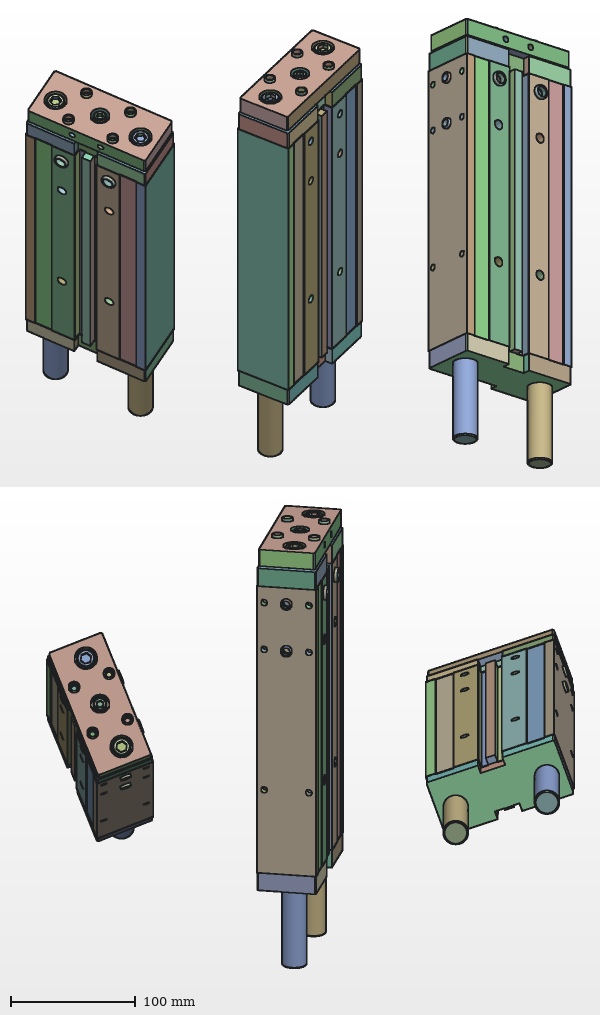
import cadquery as cq
import math

housing_width = 109.7
housing_depth = 49.0
housing_bottom = 67.0
cap_height = 15.0
barrel_height = 244.5
cap_corner = 1.0
cap_inset = 0.5
barrel_corner = 0.5
barrel_bottom = housing_bottom + cap_height
barrel_top = barrel_bottom + barrel_height
housing_top = barrel_top + cap_height
side_face_x = -housing_width / 2
front_face_y = -housing_depth / 2

cap_slot_depth = 7.2
barrel_slot_depth = 8.0
slot_edge_break = 0.55
cap_slot_width = 21.0
barrel_slot_width = 19.5
slot_rib_width = 8.0
slot_rib_recess = 1.0
channel_inner_x = 31.3
channel_outer_x = 46.0
channel_depth = 0.9

hole_rows_z = (153.3, 273.0, 313.0)
sleeve_row_z = hole_rows_z[2]
port_rows_z = hole_rows_z[1:]
mount_hole_x = 21.5
mount_hole_diameter = 6.5
mount_thread_diameter = 8.0
mount_thread_depth = 16.0
side_hole_y = 18.5
tapped_hole_diameter = 5.0
tapped_hole_depth = 7.2
drill_tip_angle = 118.0

yoke_width = 107.5
yoke_depth = 46.0
yoke_height = 14.0
yoke_corner = 1.0
yoke_gap = 1.8
yoke_bottom = housing_top + yoke_gap
yoke_top = yoke_bottom + yoke_height
yoke_hole_x = 13.0
yoke_hole_z = yoke_bottom + yoke_height / 2

guide_rod_diameter = 20.0
guide_rod_x = 39.0
guide_rod_y = -3.2
guide_rod_chamfer = 1.0
piston_rod_diameter = 12.0
piston_rod_insertion = 36.0

guide_seat_diameter = 18.0
guide_head_diameter = 15.0
guide_hex_flats = 8.0
piston_seat_diameter = 15.0
piston_head_diameter = 11.0
piston_hex_flats = 5.0
seat_depth = 8.5
head_height = 8.3
head_chamfer = 1.0
hex_depth = 3.5
hex_half_angle = 30.0

small_sleeve_outer = 9.0
small_sleeve_inner = 6.5
large_sleeve_outer = 12.0
large_sleeve_inner = 8.5
small_sleeve_seat = 2.0
large_sleeve_seat = 2.5
small_sleeve_protrusion = 2.0
large_sleeve_protrusion = 2.5
sleeve_rounding = 0.7
port_depth = 4.3
yoke_sleeve_x = 20.0
yoke_sleeve_spread_y = 15.0
yoke_sleeve_center_y = -0.7
yoke_thread_depth = 7.2

X_AXIS = cq.Vector(1, 0, 0)
Y_AXIS = cq.Vector(0, 1, 0)
Z_AXIS = cq.Vector(0, 0, 1)

guide_rod_places = [(side * guide_rod_x, guide_rod_y) for side in (-1, 1)]
mount_hole_places = [
    cq.Vector(side * mount_hole_x, front_face_y, z) for side in (-1, 1) for z in hole_rows_z
]
front_sleeve_places = [cq.Vector(side * mount_hole_x, front_face_y, sleeve_row_z) for side in (-1, 1)]
port_places = [cq.Vector(side_face_x, 0, z) for z in port_rows_z]
yoke_sleeve_places = [
    cq.Vector(side * yoke_sleeve_x, yoke_sleeve_center_y + row * yoke_sleeve_spread_y, yoke_top)
    for side in (-1, 1)
    for row in (-1, 1)
]


def cylinder(diameter, length, start, direction):
    return cq.Workplane(cq.Solid.makeCylinder(diameter / 2, length, start, direction))


def tapped_hole(mouth, direction):
    """Blind hole with a conical drill tip."""
    radius = tapped_hole_diameter / 2
    tip_length = radius / math.tan(math.radians(drill_tip_angle / 2))
    tip_start = mouth + direction * tapped_hole_depth
    tip = cq.Solid.makeCone(radius, 0, tip_length, tip_start, direction)
    return cylinder(tapped_hole_diameter, tapped_hole_depth, mouth, direction).union(cq.Workplane(tip))


def block(width, depth, height, bottom):
    return cq.Workplane("XY", origin=(0, 0, bottom)).box(width, depth, height, centered=(True, True, False))


def face_slots(x, width, depth, height, bottom):
    """The same lengthwise slot in the front and back faces, flared at its mouth."""
    half = width / 2
    mouth_half = half + slot_edge_break
    flare_y = front_face_y + slot_edge_break
    floor_y = front_face_y + depth
    right_side = [(x + half, floor_y), (x + half, flare_y), (x + mouth_half, front_face_y)]
    left_side = [(x - mouth_half, front_face_y), (x - half, flare_y), (x - half, floor_y)]
    front = cq.Workplane("XY", origin=(0, 0, bottom)).polyline(right_side + left_side).close().extrude(height)
    return front.union(front.mirror("XZ"))


def end_cap(bottom):
    width = housing_width - 2 * cap_inset
    depth = housing_depth - 2 * cap_inset
    cap = block(width, depth, cap_height, bottom).edges("|Z").chamfer(cap_corner)
    return cap.cut(face_slots(0, cap_slot_width, cap_slot_depth, cap_height, bottom))


def slot_ribs():
    """Lengthwise ribs standing on the floors of the two barrel slots."""
    rib_depth = barrel_slot_depth - slot_rib_recess
    rib_y = housing_depth / 2 - slot_rib_recess - rib_depth / 2
    rib = block(slot_rib_width, rib_depth, barrel_height, barrel_bottom)
    return rib.translate((0, -rib_y, 0)).union(rib.translate((0, rib_y, 0)))


def barrel():
    body = block(housing_width, housing_depth, barrel_height, barrel_bottom).edges("|Z").chamfer(barrel_corner)
    body = body.cut(face_slots(0, barrel_slot_width, barrel_slot_depth, barrel_height, barrel_bottom))
    body = body.union(slot_ribs())
    channel_width = channel_outer_x - channel_inner_x
    channel_x = (channel_outer_x + channel_inner_x) / 2
    for side in (-1, 1):
        channels = face_slots(side * channel_x, channel_width, channel_depth, barrel_height, barrel_bottom)
        body = body.cut(channels)
    return body


def make_housing():
    body = barrel().union(end_cap(housing_bottom)).union(end_cap(barrel_top))

    for x, y in guide_rod_places:
        bore_start = cq.Vector(x, y, housing_bottom)
        body = body.cut(cylinder(guide_rod_diameter, housing_top - housing_bottom, bore_start, Z_AXIS))
    piston_mouth = cq.Vector(0, 0, housing_top)
    body = body.cut(cylinder(piston_rod_diameter, piston_rod_insertion, piston_mouth, -Z_AXIS))

    for place in mount_hole_places:
        body = body.cut(cylinder(mount_hole_diameter, housing_depth, place, Y_AXIS))
        body = body.cut(cylinder(mount_thread_diameter, mount_thread_depth, place, Y_AXIS))
    for place in front_sleeve_places:
        body = body.cut(cylinder(large_sleeve_outer, large_sleeve_seat, place, Y_AXIS))

    for z in hole_rows_z:
        for y in (-side_hole_y, side_hole_y):
            body = body.cut(tapped_hole(cq.Vector(side_face_x, y, z), X_AXIS))
    for place in port_places:
        body = body.cut(cylinder(small_sleeve_inner, port_depth, place, X_AXIS))
        body = body.cut(cylinder(small_sleeve_outer, small_sleeve_seat, place, X_AXIS))
    return body


def guide_rod(x, y):
    rod = cylinder(guide_rod_diameter, yoke_bottom, cq.Vector(x, y, 0), Z_AXIS)
    return rod.faces("<Z").chamfer(guide_rod_chamfer)


def add_screw(yoke, x, y, seat_diameter, head_diameter, hex_flats):
    """Counterbore with a socket screw head standing on its floor."""
    seat_floor = yoke_top - seat_depth
    head_top = seat_floor + head_height
    seat = cylinder(seat_diameter, seat_depth, cq.Vector(x, y, seat_floor), Z_AXIS)
    head = cylinder(head_diameter, head_height, cq.Vector(x, y, seat_floor), Z_AXIS)
    head = head.faces(">Z").chamfer(head_chamfer)
    hex_corners = hex_flats / math.cos(math.radians(hex_half_angle))
    socket = cq.Workplane("XY").polygon(6, hex_corners).extrude(-hex_depth)
    socket = socket.rotate((0, 0, 0), (0, 0, 1), hex_half_angle).translate((x, y, head_top))
    return yoke.cut(seat).union(head).cut(socket)


def make_moving_unit():
    unit = block(yoke_width, yoke_depth, yoke_height, yoke_bottom).edges("|Z").chamfer(yoke_corner)

    for place in yoke_sleeve_places:
        unit = unit.cut(cylinder(tapped_hole_diameter, yoke_thread_depth, place, -Z_AXIS))
        unit = unit.cut(cylinder(small_sleeve_outer, small_sleeve_seat, place, -Z_AXIS))
    for side in (-1, 1):
        mouth = cq.Vector(side * yoke_hole_x, -yoke_depth / 2, yoke_hole_z)
        unit = unit.cut(tapped_hole(mouth, Y_AXIS))

    for x, y in guide_rod_places:
        unit = add_screw(unit, x, y, guide_seat_diameter, guide_head_diameter, guide_hex_flats)
        unit = unit.union(guide_rod(x, y))
    unit = add_screw(unit, 0, 0, piston_seat_diameter, piston_head_diameter, piston_hex_flats)
    piston_rod_start = cq.Vector(0, 0, housing_top - piston_rod_insertion)
    return unit.union(cylinder(piston_rod_diameter, piston_rod_insertion + yoke_gap, piston_rod_start, Z_AXIS))


def make_sleeve(mouth, inward, outer, inner, seat, protrusion):
    """Ring seated in a recess, with its outer end standing proud of the face."""
    start = mouth - inward * protrusion
    length = seat + protrusion
    ring = cylinder(outer, length, start, inward)
    outer_end = cq.NearestToPointSelector(start.toTuple())
    ring = ring.faces(outer_end).edges().fillet(sleeve_rounding)
    return ring.cut(cylinder(inner, length, start, inward)).val()


def make_small_sleeve(mouth, inward):
    return make_sleeve(
        mouth, inward, small_sleeve_outer, small_sleeve_inner, small_sleeve_seat, small_sleeve_protrusion
    )


def make_large_sleeve(mouth, inward):
    return make_sleeve(
        mouth, inward, large_sleeve_outer, large_sleeve_inner, large_sleeve_seat, large_sleeve_protrusion
    )


housing = make_housing().val()
moving_unit = make_moving_unit().val()
front_sleeves = [make_large_sleeve(place, Y_AXIS) for place in front_sleeve_places]
port_sleeves = [make_small_sleeve(place, X_AXIS) for place in port_places]
yoke_sleeves = [make_small_sleeve(place, -Z_AXIS) for place in yoke_sleeve_places]

result = cq.Compound.makeCompound([housing, moving_unit, *front_sleeves, *port_sleeves, *yoke_sleeves])